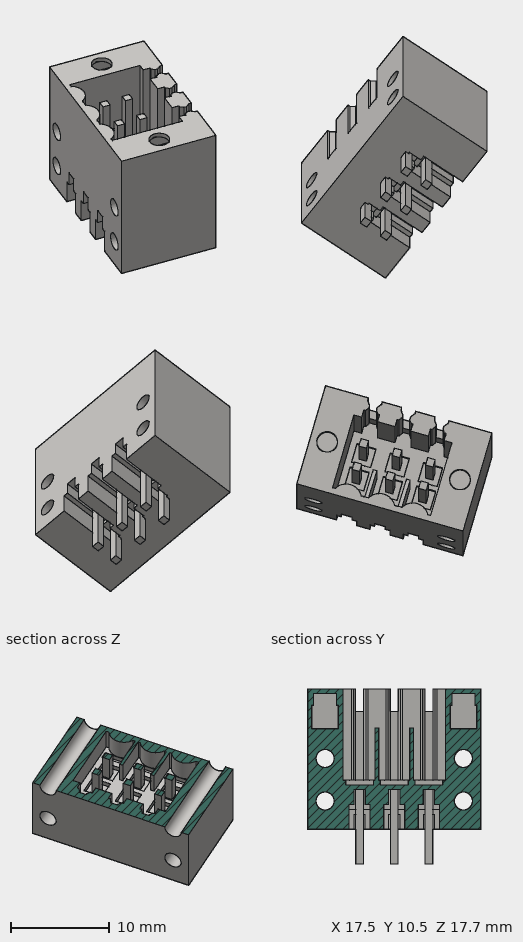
import cadquery as cq

BODY_X = 17.5
BODY_Y = 10.5
OVERALL_Z = 17.7
PIN_TAIL = 3.5
BODY_Z = OVERALL_Z - PIN_TAIL
FRONT_Y = -BODY_Y / 2
BACK_Y = BODY_Y / 2

PITCH = 3.5
COLUMNS = (-PITCH, 0, PITCH)
PIN_SIZE = 0.8
FRONT_ROW_Y = -1.49
REAR_ROW_Y = 1.01
PIN_ROWS = (FRONT_ROW_Y, REAR_ROW_Y)
PIN_TOP_Z = 11.93

CAVITY_X = 10.32
CAVITY_FRONT_Y = -4.62
CAVITY_BACK_Y = 3.15
CAVITY_FLOOR_Z = 5.0

FLOOR_RECESS = 0.5
PIN_RECESS = 2.0
BAR_RECESS_X = 2.8
BAR_RECESS_Y = 0.69
BAR_RECESS_CENTER_Y = -3.45

BUMP_HALF_WIDTH = 1.36
BUMP_HEIGHT = 0.8

RIB_WIDTH = 0.39
RIB_LENGTH = 3.68
RIB_FRONT_Z = 10.62
RIB_BACK_Z = 9.74

KEY_HALF_WIDTH = 0.83
KEY_BACK_Y = 3.91
NECK_MOUTH_HALF_WIDTH = 0.64
NECK_HALF_WIDTH = 0.39
NECK_FRONT_Y = 4.28
NECK_STEP_Y = 4.39
NECK_BACK_Y = 4.53
FLARE_HALF_WIDTH = 0.73
FLARE_BACK_Y = 5.0
FLARE_FLOOR_Z = 7.49

END_HOLE_X = 7.0
CROSS_HOLE_DIAMETER = 1.8
CROSS_HOLE_HEIGHTS = (2.87, 7.17)
TOP_HOLE_DIAMETER = 2.09
TOP_HOLE_Y = -0.25
TOP_HOLE_DEPTH = 0.48

POCKET_X = 2.3
POCKET_LOWER_X = 2.65
POCKET_Y = 6.02
POCKET_STEP_DEPTH = 1.66
POCKET_FLOOR_DEPTH = 4.02

SLOT_WIDTH = 2.1
SLOT_HEIGHT = 2.5
SLOT_NARROW_WIDTH = 1.12
SLOT_NARROW_HEIGHT = 4.02
SLOT_BACK_Y = FRONT_ROW_Y + PIN_SIZE / 2
SLOT_LOW_HEIGHT = 2.0
SLOT_LOW_LENGTH = 0.7
SLOT_LOW_BACK_Y = SLOT_BACK_Y + SLOT_LOW_LENGTH
SLOT_TUNNEL_HEIGHT = 1.52
SLOT_TUNNEL_BACK_Y = REAR_ROW_Y


def box(width, y_range, z_range, x=0):
    """Box centred on x, between two Y and two Z limits."""
    y0, y1 = y_range
    z0, z1 = z_range
    solid = cq.Workplane("XY").box(width, y1 - y0, z1 - z0, centered=(True, False, False))
    return solid.translate((x, y0, z0))


def square_column(size, x, y, z_range):
    return box(size, (y - size / 2, y + size / 2), z_range, x)


def cavity():
    space = box(CAVITY_X, (CAVITY_FRONT_Y, CAVITY_BACK_Y), (CAVITY_FLOOR_Z, BODY_Z))
    for x in COLUMNS:
        bump = (
            cq.Workplane("XY", origin=(x, CAVITY_FRONT_Y, CAVITY_FLOOR_Z))
            .moveTo(-BUMP_HALF_WIDTH, 0)
            .threePointArc((0, BUMP_HEIGHT), (BUMP_HALF_WIDTH, 0))
            .close()
            .extrude(BODY_Z - CAVITY_FLOOR_Z)
        )
        space = space.cut(bump)
    return space


def mirrored_prism(half_outline, x, floor_z):
    """Vertical prism up to the top face, from an outline mirrored about X = x."""
    mirrored = [(-px, py) for px, py in reversed(half_outline)]
    return (
        cq.Workplane("XY", origin=(x, 0, floor_z))
        .polyline(half_outline + mirrored)
        .close()
        .extrude(BODY_Z - floor_z)
    )


def latch_groove(x):
    key = [
        (KEY_HALF_WIDTH, CAVITY_BACK_Y),
        (KEY_HALF_WIDTH, KEY_BACK_Y),
        (NECK_MOUTH_HALF_WIDTH, KEY_BACK_Y),
        (NECK_HALF_WIDTH, NECK_FRONT_Y),
        (NECK_HALF_WIDTH, NECK_STEP_Y),
    ]
    flare = [
        (NECK_HALF_WIDTH, NECK_STEP_Y),
        (NECK_HALF_WIDTH, NECK_BACK_Y),
        (FLARE_HALF_WIDTH, FLARE_BACK_Y),
        (FLARE_HALF_WIDTH, BACK_Y),
    ]
    return mirrored_prism(key, x, CAVITY_FLOOR_Z).union(mirrored_prism(flare, x, FLARE_FLOOR_Z))


def floor_recesses(x):
    z_range = (CAVITY_FLOOR_Z - FLOOR_RECESS, CAVITY_FLOOR_Z)
    bar_y = (BAR_RECESS_CENTER_Y - BAR_RECESS_Y / 2, BAR_RECESS_CENTER_Y + BAR_RECESS_Y / 2)
    recesses = box(BAR_RECESS_X, bar_y, z_range, x)
    for y in PIN_ROWS:
        recesses = recesses.union(square_column(PIN_RECESS, x, y, z_range))
    return recesses


def solder_slot(x):
    """T-shaped mouth around the front pin, stepping down to a tunnel toward the rear pin."""
    wide = box(SLOT_WIDTH, (FRONT_Y, SLOT_BACK_Y), (0, SLOT_HEIGHT), x)
    narrow = box(SLOT_NARROW_WIDTH, (FRONT_Y, SLOT_BACK_Y), (0, SLOT_NARROW_HEIGHT), x)
    low = box(SLOT_WIDTH, (SLOT_BACK_Y, SLOT_LOW_BACK_Y), (0, SLOT_LOW_HEIGHT), x)
    tunnel = box(SLOT_NARROW_WIDTH, (SLOT_LOW_BACK_Y, SLOT_TUNNEL_BACK_Y), (0, SLOT_TUNNEL_HEIGHT), x)
    return wide.union(narrow).union(low).union(tunnel)


def top_hole(x):
    """Round opening above a rectangular pocket; the depths are measured from the top face."""
    opening_z = BODY_Z - TOP_HOLE_DEPTH
    step_z = BODY_Z - POCKET_STEP_DEPTH
    floor_z = BODY_Z - POCKET_FLOOR_DEPTH
    pocket_y = (TOP_HOLE_Y - POCKET_Y / 2, TOP_HOLE_Y + POCKET_Y / 2)
    opening = (
        cq.Workplane("XY", origin=(x, TOP_HOLE_Y, opening_z))
        .circle(TOP_HOLE_DIAMETER / 2)
        .extrude(TOP_HOLE_DEPTH)
    )
    upper_pocket = box(POCKET_X, pocket_y, (step_z, opening_z), x)
    lower_pocket = box(POCKET_LOWER_X, pocket_y, (floor_z, step_z), x)
    return opening.union(upper_pocket).union(lower_pocket)


def cross_hole(x, z):
    return cq.Workplane("XZ", origin=(x, BACK_Y, z)).circle(CROSS_HOLE_DIAMETER / 2).extrude(BODY_Y)


def rib(x):
    back_y = CAVITY_FRONT_Y + RIB_LENGTH
    return (
        cq.Workplane("YZ", origin=(x - RIB_WIDTH / 2, 0, 0))
        .moveTo(CAVITY_FRONT_Y, CAVITY_FLOOR_Z)
        .lineTo(back_y, CAVITY_FLOOR_Z)
        .lineTo(back_y, RIB_BACK_Z)
        .lineTo(CAVITY_FRONT_Y, RIB_FRONT_Z)
        .close()
        .extrude(RIB_WIDTH)
    )


result = box(BODY_X, (FRONT_Y, BACK_Y), (0, BODY_Z)).cut(cavity())
for column_x in COLUMNS:
    result = result.cut(latch_groove(column_x)).cut(floor_recesses(column_x)).cut(solder_slot(column_x))

for end_x in (-END_HOLE_X, END_HOLE_X):
    result = result.cut(top_hole(end_x))
    for hole_z in CROSS_HOLE_HEIGHTS:
        result = result.cut(cross_hole(end_x, hole_z))

for rib_x in (-PITCH / 2, PITCH / 2):
    result = result.union(rib(rib_x))

for column_x in COLUMNS:
    for row_y in PIN_ROWS:
        result = result.union(square_column(PIN_SIZE, column_x, row_y, (-PIN_TAIL, PIN_TOP_Z)))